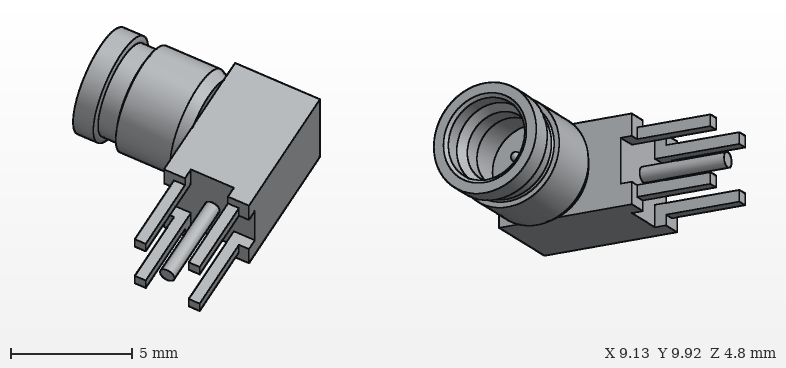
import cadquery as cq

length_x = 9.13
block_side = 3.97
block_length = 6.21
block_x = length_x - block_side
block_top_y = 2.12
foot_size = 0.98
foot_height = 0.52

barrel_radius = 2.4
pin_tip_y = barrel_radius - 9.92
peg_size = 0.52
contact_radius = 0.34

groove_radius = 2.1
groove_start = 0.95
groove_end = 1.99
groove_step_width = 0.06
groove_step_radius = 2.2
groove_rear_step_width = 0.12
groove_rear_step_radius = 2.16
taper_start = 4.54
taper_end = 5.06
taper_radius = 2.13
neck_radius = 1.59

mouth_radius = 1.94
socket_radius = 1.79
throat_radius = 1.53
mouth_depth = 0.13
socket_depth = 0.86
throat_start = 1.3
throat_end = 2.13
chamber_start = 2.37
bore_depth = 3.97
center_pin_radius = 0.21
center_pin_tip = 2.48

block_bottom_y = block_top_y - block_length
foot_top_y = block_bottom_y + foot_height
block_center_x = block_x + block_side / 2
side_offsets = (-1, 1)


def box_between(x_center, z_center, width, y_low, y_high):
    """Square bar running along Y."""
    return cq.Workplane("XY").box(width, y_high - y_low, width).translate(
        (x_center, (y_low + y_high) / 2, z_center)
    )


def revolve_about_x(profile):
    return profile.close().revolve(360, (0, 0, 0), (1, 0, 0))


def make_block():
    block = box_between(block_center_x, 0, block_side, foot_top_y, block_top_y)
    foot_offset = (block_side - foot_size) / 2
    peg_offset = block_side / 2 - foot_size + peg_size / 2
    for side_x in side_offsets:
        for side_z in side_offsets:
            foot = box_between(
                block_center_x + side_x * foot_offset, side_z * foot_offset,
                foot_size, block_bottom_y, foot_top_y,
            )
            peg = box_between(
                block_center_x + side_x * peg_offset, side_z * peg_offset,
                peg_size, pin_tip_y, block_bottom_y,
            )
            block = block.union(foot).union(peg)
    return block


def make_contact():
    return (
        cq.Workplane("XZ", origin=(block_center_x, foot_top_y, 0))
        .circle(contact_radius)
        .extrude(foot_top_y - pin_tip_y)
    )


def make_barrel():
    """Grooved barrel with a stepped bore that widens again behind its throat."""
    profile = (
        cq.Workplane("XY")
        .moveTo(0, mouth_radius)
        .lineTo(0, barrel_radius)
        .lineTo(groove_start, barrel_radius)
        .lineTo(groove_start + groove_step_width, groove_step_radius)
        .lineTo(groove_start + groove_step_width, groove_radius)
        .lineTo(groove_end - groove_rear_step_width, groove_radius)
        .lineTo(groove_end, groove_rear_step_radius)
        .lineTo(groove_end, barrel_radius)
        .lineTo(taper_start, barrel_radius)
        .lineTo(taper_end, taper_radius)
        .lineTo(taper_end, neck_radius)
        .lineTo(block_x, neck_radius)
        .lineTo(block_x, 0)
        .lineTo(bore_depth, 0)
        .lineTo(bore_depth, socket_radius)
        .lineTo(chamber_start, socket_radius)
        .lineTo(throat_end, throat_radius)
        .lineTo(throat_start, throat_radius)
        .lineTo(socket_depth, socket_radius)
        .lineTo(mouth_depth, socket_radius)
    )
    return revolve_about_x(profile)


def make_center_pin():
    """Pin on the barrel axis with a hemispherical tip."""
    dome_end = center_pin_tip + center_pin_radius
    dome_mid = center_pin_radius * 0.5 ** 0.5
    profile = (
        cq.Workplane("XY")
        .moveTo(center_pin_tip, 0)
        .threePointArc((dome_end - dome_mid, dome_mid), (dome_end, center_pin_radius))
        .lineTo(bore_depth, center_pin_radius)
        .lineTo(bore_depth, 0)
    )
    return revolve_about_x(profile)


result = make_block().union(make_contact()).union(make_barrel()).union(make_center_pin())